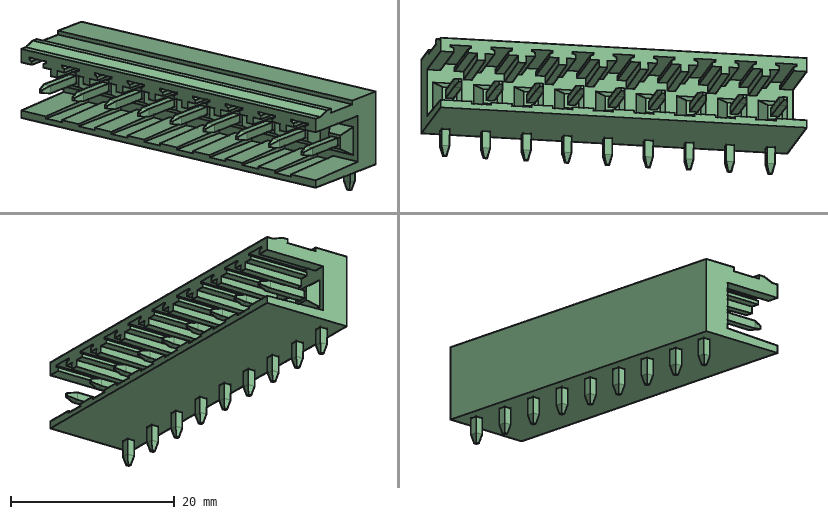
import cadquery as cq


LENGTH = 45.7
PIN_COUNT = 9
PITCH = LENGTH / PIN_COUNT
PIN_POSITIONS = [(i - (PIN_COUNT - 1) / 2) * PITCH for i in range(PIN_COUNT)]
CELL_BOUNDARIES = [x + PITCH / 2 for x in PIN_POSITIONS[:-1]]

DEPTH = 12.0
HEIGHT = 9.35
WALL_FRONT = DEPTH - 3.55

STEP_DEPTH = 0.5
STEP_Y = DEPTH - 4.65
RIDGE_BACK_Y = 3.1
RIDGE_CREST_Y = 2.3
RIDGE_FRONT_Y = 0.9
ROOF_Z = HEIGHT - STEP_DEPTH

CEILING_Z = 7.15
FLOOR_BACK_Z = 1.25
FLOOR_FRONT_Z = 0.95

CHANNEL_WIDTH = 2.45
CHANNEL_Z = 0.7

RIB_WIDTH = 1.0
RIB_BACK_Z = 6.13
RIB_FRONT_Z = 6.25

GROOVE_NECK_WIDTH = 1.8
GROOVE_HEAD_WIDTH = 2.6
GROOVE_NECK_Z = 7.6
GROOVE_FLARE_Z = 7.8
GROOVE_TOP_Z = 8.0

BOSS_BASE = 3.6
BOSS_TIP = 1.8
BOSS_HEIGHT = 1.35

PIN_SIZE = 1.0
PIN_Z = 3.75
LEG_Y = DEPTH - 2.0
ARM_TIP_Y = 0.65
ARM_TAPER = 1.3
ARM_TIP_SIZE = 0.35
LEG_LENGTH = 3.25
LEG_TAPER = 1.2
LEG_TIP_SIZE = 0.4


def prism_along_x(points, width, x_center=0.0):
    """Extrude a (y, z) outline by width, centred on x_center."""
    prism = cq.Workplane("YZ").polyline(points).close().extrude(width / 2, both=True)
    return prism.translate((x_center, 0, 0))


def box(x_size, y_range, z_range, x_center=0.0):
    """Box given by its width about x_center and its Y and Z limits."""
    y_min, y_max = y_range
    z_min, z_max = z_range
    solid = cq.Workplane("XY").box(x_size, y_max - y_min, z_max - z_min, centered=(True, False, False))
    return solid.translate((x_center, y_min, z_min))


def square_taper(start_plane, start_size, end_size, length):
    """Square frustum that grows from start_plane along its normal."""
    start = cq.Workplane(start_plane).rect(start_size, start_size)
    return start.workplane(offset=length).rect(end_size, end_size).loft()


def plane_facing_front(x, y, z):
    return cq.Plane(origin=(x, y, z), xDir=(1, 0, 0), normal=(0, -1, 0))


def plane_facing_down(x, y, z):
    return cq.Plane(origin=(x, y, z), xDir=(1, 0, 0), normal=(0, 0, -1))


def make_shell():
    """C-shaped cross-section, constant along the row."""
    return prism_along_x(
        [
            (DEPTH, 0),
            (DEPTH, HEIGHT),
            (STEP_Y, HEIGHT),
            (STEP_Y, ROOF_Z),
            (RIDGE_BACK_Y, ROOF_Z),
            (RIDGE_BACK_Y, HEIGHT),
            (RIDGE_CREST_Y, HEIGHT),
            (RIDGE_FRONT_Y, ROOF_Z),
            (0, ROOF_Z),
            (0, CEILING_Z),
            (WALL_FRONT, CEILING_Z),
            (WALL_FRONT, FLOOR_BACK_Z),
            (0, FLOOR_FRONT_Z),
            (0, 0),
        ],
        LENGTH,
    )


def make_rib(x):
    """Keying rib; its top meets the ceiling and its back meets the wall."""
    outline = [(0, RIB_FRONT_Z), (WALL_FRONT, RIB_BACK_Z), (WALL_FRONT, CEILING_Z), (0, CEILING_Z)]
    return prism_along_x(outline, RIB_WIDTH, x)


def make_channel_cutter(x):
    return box(CHANNEL_WIDTH, (0, WALL_FRONT), (CHANNEL_Z, FLOOR_BACK_Z), x)


def make_groove_cutter(x):
    """Narrow neck that flares out to a wider head, running from the mating face to the wall."""
    neck = GROOVE_NECK_WIDTH / 2
    head = GROOVE_HEAD_WIDTH / 2
    right_side = [(neck, CEILING_Z), (neck, GROOVE_NECK_Z), (head, GROOVE_FLARE_Z), (head, GROOVE_TOP_Z)]
    left_side = [(-px, pz) for px, pz in reversed(right_side)]
    outline = cq.Workplane("XZ").polyline(right_side + left_side).close()
    return outline.extrude(-WALL_FRONT).translate((x, 0, 0))


def make_boss(x):
    return square_taper(plane_facing_front(x, WALL_FRONT, PIN_Z), BOSS_BASE, BOSS_TIP, BOSS_HEIGHT)


def make_pin(x):
    """Right-angle pin: mating arm along Y and solder leg along Z, joined at a square corner."""
    half = PIN_SIZE / 2
    arm_shoulder_y = ARM_TIP_Y + ARM_TAPER
    leg_shoulder_z = LEG_TAPER - LEG_LENGTH
    arm = box(PIN_SIZE, (arm_shoulder_y, LEG_Y + half), (PIN_Z - half, PIN_Z + half), x)
    leg = box(PIN_SIZE, (LEG_Y - half, LEG_Y + half), (leg_shoulder_z, PIN_Z + half), x)
    arm_tip = square_taper(plane_facing_front(x, arm_shoulder_y, PIN_Z), PIN_SIZE, ARM_TIP_SIZE, ARM_TAPER)
    leg_tip = square_taper(plane_facing_down(x, LEG_Y, leg_shoulder_z), PIN_SIZE, LEG_TIP_SIZE, LEG_TAPER)
    return arm.union(leg).union(arm_tip).union(leg_tip)


def make_housing(pins):
    housing = make_shell()
    for x in CELL_BOUNDARIES:
        housing = housing.union(make_rib(x)).cut(make_channel_cutter(x))
    for x in PIN_POSITIONS:
        housing = housing.union(make_boss(x)).cut(make_groove_cutter(x))
    for pin in pins:
        housing = housing.cut(pin)
    return housing


pins = [make_pin(x) for x in PIN_POSITIONS]
housing = make_housing(pins)

result = cq.Compound.makeCompound([housing.val(), *[pin.val() for pin in pins]])